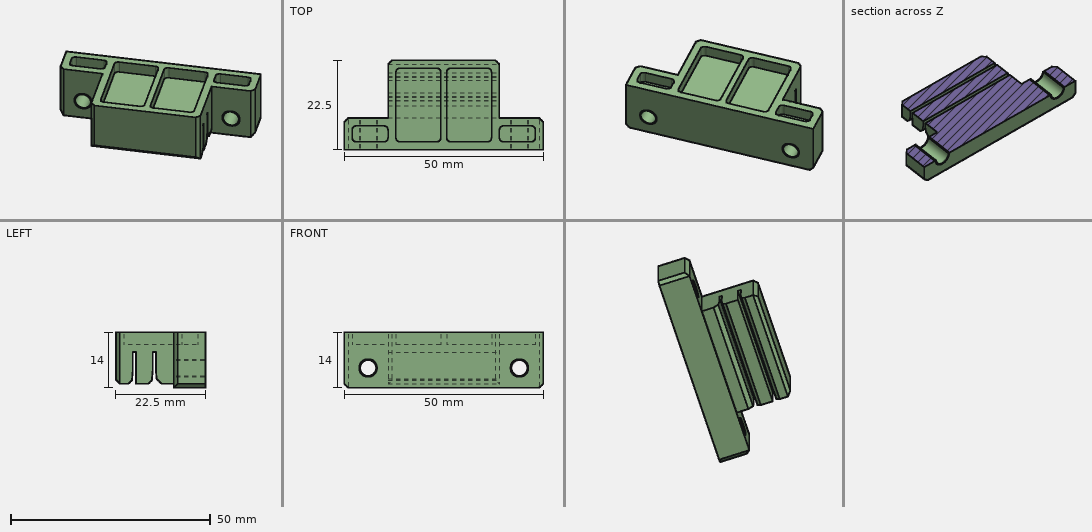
import cadquery as cq

length = 50.0
width = 22.5
height = 14.0
edge_chamfer = 1.0

flange_width = 8.0

block_length = 28.0
block_bottom = 1.0
block_start = (length - block_length) / 2

wall = 2.0
web = 1.5
pocket_depth = 3.0
pocket_radius = 1.0
end_pocket_length = block_start - wall
end_pocket_width = flange_width - 2 * wall
main_pocket_length = (block_length - 2 * wall - web) / 2
main_pocket_width = width - 2 * wall

slot_width = 0.75
slot_top = 9.0
rear_slot_start = 17.5
front_slot_start = 12.5
flare_top = 4.25
flare = 0.2
rear_lip_chamfer = 0.9
front_lip_chamfer = 1.25

sleeve_inset = 6.0
sleeve_height = 5.0
sleeve_diameter = 4.5
bore_diameter = 4.0
sleeve_places = [sleeve_inset, length - sleeve_inset]


def make_flange():
    """Bar with its bottom end edges and rear vertical corners chamfered."""
    bar = cq.Workplane("XY").box(length, flange_width, height, centered=False)
    end_chamfered = bar.edges("|Y and <Z").chamfer(edge_chamfer)
    rear_chamfered = bar.edges("|Z and >Y").chamfer(edge_chamfer)
    return end_chamfered.intersect(rear_chamfered)


def make_block():
    """Rear block with chamfered rear corners and lower rear edge."""
    return (
        cq.Workplane("XY")
        .box(block_length, width, height - block_bottom, centered=False)
        .translate((block_start, 0, block_bottom))
        .faces(">Y")
        .edges("|Z or <Z")
        .chamfer(edge_chamfer)
    )


def make_pocket(x_start, pocket_length, pocket_width):
    """Round-cornered recess cutter, open at the top face."""
    mouth = cq.Sketch().rect(pocket_length, pocket_width).vertices().fillet(pocket_radius)
    return (
        cq.Workplane("XY", origin=(x_start + pocket_length / 2, wall + pocket_width / 2, height))
        .placeSketch(mouth)
        .extrude(-pocket_depth)
    )


def make_slot(outline):
    """Cutter of the given YZ outline, running the full length of the block."""
    return (
        cq.Workplane("YZ", origin=(block_start, 0, 0))
        .polyline(outline)
        .close()
        .extrude(block_length)
    )


def make_rear_slot():
    """Slot widened and chamfered on its rear side only."""
    front = rear_slot_start
    rear = front + slot_width
    return make_slot([
        (front, block_bottom),
        (front, slot_top),
        (rear, slot_top),
        (rear, flare_top),
        (rear + flare, block_bottom + rear_lip_chamfer),
        (rear + flare + rear_lip_chamfer, block_bottom),
    ])


def make_front_slot():
    """Slot widened and chamfered on both sides."""
    front = front_slot_start
    rear = front + slot_width
    return make_slot([
        (front - flare - front_lip_chamfer, block_bottom),
        (front - flare, block_bottom + front_lip_chamfer),
        (front, flare_top),
        (front, slot_top),
        (rear, slot_top),
        (rear, flare_top),
        (rear + flare, block_bottom + rear_lip_chamfer),
        (rear + flare + rear_lip_chamfer, block_bottom),
    ])


def make_cross_cylinder(x_center, diameter):
    """Cylinder along Y through the whole flange."""
    return (
        cq.Workplane("XZ", origin=(x_center, 0, sleeve_height))
        .circle(diameter / 2)
        .extrude(-flange_width)
    )


def make_housing():
    """Flange and block with their pockets, slots and sleeve holes."""
    body = make_flange().union(make_block())
    for x_start in (wall, length - wall - end_pocket_length):
        body = body.cut(make_pocket(x_start, end_pocket_length, end_pocket_width))
    first_main = block_start + wall
    for x_start in (first_main, first_main + main_pocket_length + web):
        body = body.cut(make_pocket(x_start, main_pocket_length, main_pocket_width))
    body = body.cut(make_rear_slot()).cut(make_front_slot())
    for x_center in sleeve_places:
        body = body.cut(make_cross_cylinder(x_center, sleeve_diameter))
    return body.solids().val()


def make_sleeve(x_center):
    """Plain tube, flush with both faces of the flange."""
    tube = make_cross_cylinder(x_center, sleeve_diameter).cut(make_cross_cylinder(x_center, bore_diameter))
    return tube.solids().val()


housing = make_housing()
sleeves = [make_sleeve(x_center) for x_center in sleeve_places]
result = cq.Compound.makeCompound([housing, *sleeves])